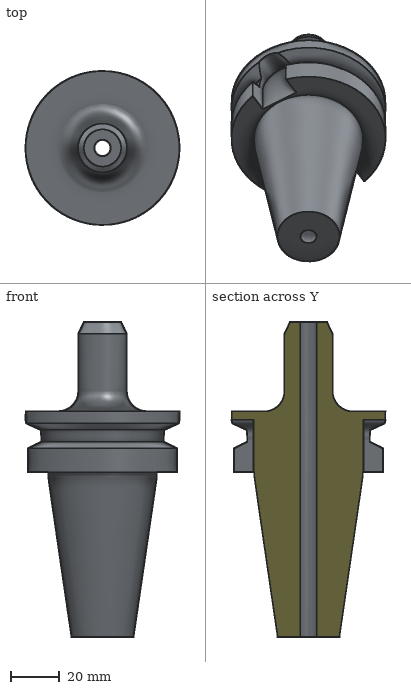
import cadquery as cq

total_height = 128.9
taper_height = 65.4
flange_bottom = 67.4
flange_top = 92.4

taper_ratio = 7 / 24
gauge_radius = 22.24
small_radius = gauge_radius - taper_height * taper_ratio / 2

flange_radius = 31.52
groove_radius = 26.3
upper_rim_height = 5.0
lower_rim_height = 9.8
groove_side_height = 2.7

shank_radius = 9.99
tip_radius = 7.6
tip_height = 4.9
root_radius = 8.0
bore_radius = 3.29

slot_width = 16.0
slot_floor = 22.5
slot_top = 88.7


def make_body():
    """Revolve the half profile of taper, flange and shank about Z."""
    upper_rim_bottom = flange_top - upper_rim_height
    lower_rim_top = flange_bottom + lower_rim_height
    root_top = (shank_radius, flange_top + root_radius)
    return (
        cq.Workplane("XZ")
        .lineTo(small_radius, 0)
        .lineTo(gauge_radius, taper_height)
        .lineTo(gauge_radius, flange_bottom)
        .lineTo(flange_radius, flange_bottom)
        .lineTo(flange_radius, lower_rim_top)
        .lineTo(groove_radius, lower_rim_top + groove_side_height)
        .lineTo(groove_radius, upper_rim_bottom - groove_side_height)
        .lineTo(flange_radius, upper_rim_bottom)
        .lineTo(flange_radius, flange_top)
        .lineTo(shank_radius + root_radius, flange_top)
        .radiusArc(root_top, root_radius)
        .lineTo(shank_radius, total_height - tip_height)
        .lineTo(tip_radius, total_height)
        .lineTo(0, total_height)
        .close()
        .revolve(360, (0, 0, 0), (0, 1, 0))
    )


def make_slot(side):
    """Round-topped slot, open at the flange bottom, on the +X (1) or -X (-1) side."""
    half_width = slot_width / 2
    arc_center = slot_top - half_width
    return (
        cq.Workplane("YZ", origin=(side * slot_floor, 0, 0))
        .moveTo(-half_width, flange_bottom)
        .lineTo(-half_width, arc_center)
        .threePointArc((0, slot_top), (half_width, arc_center))
        .lineTo(half_width, flange_bottom)
        .close()
        .extrude(side * flange_radius)
    )


result = make_body()
for side in (-1, 1):
    result = result.cut(make_slot(side))

bore = cq.Workplane("XY").circle(bore_radius).extrude(total_height)
result = result.cut(bore)